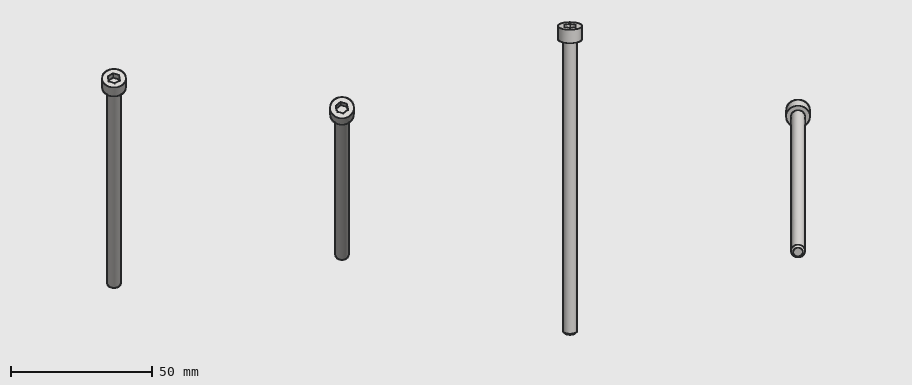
import cadquery as cq
import math


head_diameter = 8.5
head_height = 5.0

socket_across_flats = 4.0
socket_depth = 2.5
socket_across_corners = socket_across_flats / math.cos(math.pi / 6)

shank_diameter = 5.0
shank_length = 110.0
thread_length = 22.0
plain_length = shank_length - thread_length

tip_diameter = 3.4
tip_chamfer = (shank_diameter - tip_diameter) / 2


def make_head():
    """Cylindrical head with a blind hexagonal socket in its top face."""
    head = cq.Workplane("XY").circle(head_diameter / 2).extrude(head_height)
    socket = (
        cq.Workplane("XY", origin=(0, 0, head_height))
        .polygon(6, socket_across_corners)
        .extrude(-socket_depth)
    )
    return head.cut(socket)


def make_plain_shank():
    """Plain cylinder below the head."""
    return cq.Workplane("XY").circle(shank_diameter / 2).extrude(-plain_length)


def make_threaded_end():
    """Thread envelope with a 45 degree chamfer at the tip."""
    return (
        cq.Workplane("XY", origin=(0, 0, -plain_length))
        .circle(shank_diameter / 2)
        .extrude(-thread_length)
        .faces("<Z")
        .chamfer(tip_chamfer)
    )


result = (
    make_head()
    .union(make_plain_shank(), clean=False)
    .union(make_threaded_end(), clean=False)
)